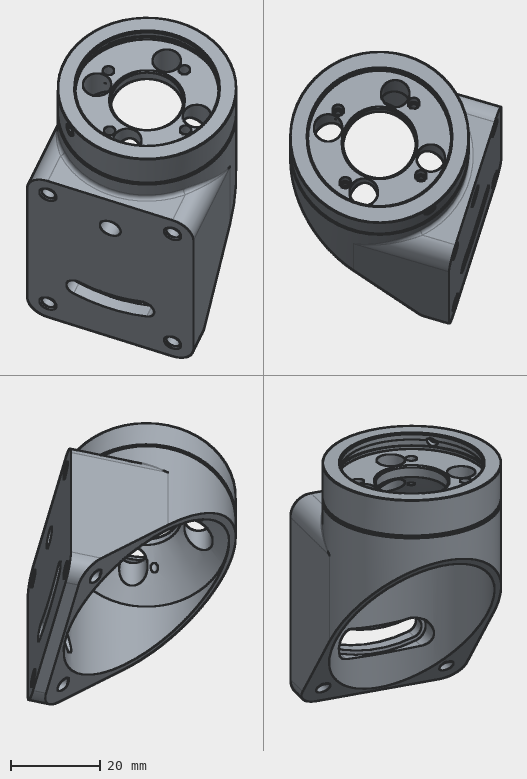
import cadquery as cq
import math

WIDTH = 40.0
DEPTH = 42.4
HEIGHT = 64.2
BODY_RADIUS = WIDTH / 2
FRONT_Y = BODY_RADIUS - DEPTH

PLATE_HEIGHT = 50.0
PLATE_CORNER_RADIUS = 5.0
ROOT_FILLET = 0.95
SHOULDER_Z = 55.0
SHOULDER_CHAMFER = 0.2
SLOPE_BACK_Z = 48.65
SLOPE_FOOT_Y = -19.4

BOSS_RADIUS = 17.35
BOSS_TOP_Z = HEIGHT - 4.4
BOSS_CHAMFER = 0.2
BOSS_OVERLAP = 0.65
BORE_RADIUS = 8.1
BORE_CHAMFER = 0.4
BORE_END_Z = HEIGHT - 7.2
PORT_DIAMETER = 6.35
PORT_CIRCLE_RADIUS = 12.0
SCREW_HOLE_DIAMETER = 1.6
SCREW_COUNTERBORE_DIAMETER = 2.6
SCREW_COUNTERBORE_DEPTH = 3.2
SCREW_FIRST_ANGLE = 67.5
STATIONS = 4

CAVITY_RADIUS = 18.5
CAVITY_CONE_HEIGHT = 9.3

MOUNT_HOLE_DIAMETER = 3.3
MOUNT_SINK_DIAMETER = 4.1
MOUNT_HOLE_DEPTH = 8.0
DRILL_POINT_ANGLE = 118.0
MOUNT_X = WIDTH / 2 - PLATE_CORNER_RADIUS
PIVOT_DIAMETER = 5.0
PIVOT_Z = 39.9
SLOT_WIDTH = PIVOT_DIAMETER
SLOT_CLEARANCE_WIDTH = 7.05
FRONT_WALL = 3.2
SLOT_ARC_RADIUS = 27.0
SLOT_HALF_ANGLE = 17.3

RING_BOTTOM_Z = 55.4
RING_EDGE_CHAMFER = 0.1
LIP_RADIUS = 16.0
LIP_CHAMFER = 0.3
LIP_HEIGHT = 1.6
GROOVE_RADIUS = 17.65
GROOVE_END_Z = HEIGHT - 3.8
SET_SCREW_DIAMETER = 2.6
SET_SCREW_SINK_DIAMETER = 3.0
SET_SCREW_ANGLE = 231.6
SET_SCREW_Z = HEIGHT - 2.4


def upright_cylinder(radius, bottom_z, top_z):
    return cq.Workplane("XY").workplane(offset=bottom_z).circle(radius).extrude(top_z - bottom_z)


def revolved(profile):
    """Turn a closed list of (radius, z) points about the Z axis."""
    return cq.Workplane("XZ").polyline(profile).close().revolve(360, (0, 0, 0), (0, 1, 0))


def drilled(diameter, sink_diameter, depth, point_angle=None):
    """Solid of a hole along -Z from the origin with a 45 degree sink and an optional drill point."""
    radius = diameter / 2
    sink_radius = sink_diameter / 2
    profile = [(0, 0), (sink_radius, 0), (radius, radius - sink_radius), (radius, -depth)]
    tip = radius / math.tan(math.radians(point_angle / 2)) if point_angle else 0
    profile.append((0, -depth - tip))
    return revolved(profile)


def around(angle):
    """Point on the port circle."""
    turn = math.radians(angle)
    return (PORT_CIRCLE_RADIUS * math.cos(turn), PORT_CIRCLE_RADIUS * math.sin(turn))


def screw_hole():
    """Counterbored hole along -Z from the origin."""
    shank = upright_cylinder(SCREW_HOLE_DIAMETER / 2, -HEIGHT / 2, 0)
    return shank.union(upright_cylinder(SCREW_COUNTERBORE_DIAMETER / 2, -SCREW_COUNTERBORE_DEPTH, 0))


def front_sketch(depth=0):
    """Workplane at a depth behind the front face: local x is X, local y is Z, negative goes inwards."""
    return cq.Workplane("XZ", origin=(0, FRONT_Y + depth, 0))


def housing_blank():
    """Front block and round barrel, with a fillet where the block's top meets the barrel."""
    block = (
        front_sketch()
        .center(0, PLATE_HEIGHT / 2)
        .rect(WIDTH, PLATE_HEIGHT)
        .extrude(FRONT_Y)
        .edges("|Y")
        .fillet(PLATE_CORNER_RADIUS)
    )
    barrel = upright_cylinder(BODY_RADIUS, 0, SHOULDER_Z).faces(">Z").chamfer(SHOULDER_CHAMFER)
    blank = block.union(barrel)
    around_root = cq.selectors.BoxSelector(
        (-WIDTH, 0.9 * FRONT_Y, PLATE_HEIGHT - PLATE_CORNER_RADIUS),
        (WIDTH, -0.65, PLATE_HEIGHT + 0.65),
    )
    return blank.edges(around_root).edges("not |Y").fillet(ROOT_FILLET)


def below_slope():
    """Everything under the sloping rear face."""
    slope = SLOPE_BACK_Z / (BODY_RADIUS - SLOPE_FOOT_Y)
    margin = WIDTH
    return (
        cq.Workplane("YZ")
        .polyline([
            (SLOPE_FOOT_Y - margin, -margin * slope),
            (BODY_RADIUS + margin, SLOPE_BACK_Z + margin * slope),
            (BODY_RADIUS + margin, -margin * slope),
        ])
        .close()
        .extrude(WIDTH, both=True)
    )


def cavity():
    """Round cavity, open at the slope, whose conical roof leads up to the bore."""
    return revolved([
        (0, 0),
        (CAVITY_RADIUS, 0),
        (CAVITY_RADIUS, BORE_END_Z - CAVITY_CONE_HEIGHT),
        (BORE_RADIUS, BORE_END_Z),
        (0, BORE_END_Z),
    ])


def curved_slot(width, start_depth=0):
    """Slot along an arc about the pivot hole, with round ends."""
    half_width = width / 2

    def point(radius, angle):
        turn = math.radians(angle)
        return (radius * math.sin(turn), PIVOT_Z - radius * math.cos(turn))

    inner = SLOT_ARC_RADIUS - half_width
    outer = SLOT_ARC_RADIUS + half_width
    end_angle = SLOT_HALF_ANGLE + math.degrees(half_width / SLOT_ARC_RADIUS)
    return (
        front_sketch(start_depth)
        .moveTo(*point(outer, -SLOT_HALF_ANGLE))
        .threePointArc(point(outer, 0), point(outer, SLOT_HALF_ANGLE))
        .threePointArc(point(SLOT_ARC_RADIUS, end_angle), point(inner, SLOT_HALF_ANGLE))
        .threePointArc(point(inner, 0), point(inner, -SLOT_HALF_ANGLE))
        .threePointArc(point(SLOT_ARC_RADIUS, -end_angle), point(outer, -SLOT_HALF_ANGLE))
        .close()
        .extrude(FRONT_Y)
    )


def make_housing():
    boss = upright_cylinder(BOSS_RADIUS, SHOULDER_Z - BOSS_OVERLAP, BOSS_TOP_Z)
    body = housing_blank().union(boss.faces(">Z").chamfer(BOSS_CHAMFER))
    body = body.cut(below_slope()).cut(cavity())

    bore = drilled(2 * BORE_RADIUS, 2 * (BORE_RADIUS + BORE_CHAMFER), HEIGHT / 2)
    body = body.cut(bore.translate((0, 0, BOSS_TOP_Z)))
    for station in range(STATIONS):
        turn = station * 360 / STATIONS
        port = upright_cylinder(PORT_DIAMETER / 2, HEIGHT / 2, HEIGHT)
        body = body.cut(port.translate((*around(turn), 0)))
        x, y = around(SCREW_FIRST_ANGLE + turn)
        body = body.cut(screw_hole().translate((x, y, BOSS_TOP_Z)))

    mount = drilled(MOUNT_HOLE_DIAMETER, MOUNT_SINK_DIAMETER, MOUNT_HOLE_DEPTH, DRILL_POINT_ANGLE)
    mount = mount.rotate((0, 0, 0), (1, 0, 0), 90)
    for x in (-MOUNT_X, MOUNT_X):
        for z in (PLATE_CORNER_RADIUS, PLATE_HEIGHT - PLATE_CORNER_RADIUS):
            body = body.cut(mount.translate((x, FRONT_Y, z)))

    pivot = front_sketch().center(0, PIVOT_Z).circle(PIVOT_DIAMETER / 2).extrude(FRONT_Y)
    slot = curved_slot(SLOT_WIDTH)
    clearance = curved_slot(SLOT_CLEARANCE_WIDTH, FRONT_WALL)
    return body.cut(pivot).cut(slot).cut(clearance)


def make_ring():
    lip_end_z = HEIGHT - LIP_HEIGHT
    ring = revolved([
        (BOSS_RADIUS, RING_BOTTOM_Z),
        (BODY_RADIUS - RING_EDGE_CHAMFER, RING_BOTTOM_Z),
        (BODY_RADIUS, RING_BOTTOM_Z + RING_EDGE_CHAMFER),
        (BODY_RADIUS, HEIGHT - RING_EDGE_CHAMFER),
        (BODY_RADIUS - RING_EDGE_CHAMFER, HEIGHT),
        (LIP_RADIUS + LIP_CHAMFER, HEIGHT),
        (LIP_RADIUS, HEIGHT - LIP_CHAMFER),
        (LIP_RADIUS, lip_end_z),
        (GROOVE_RADIUS, lip_end_z),
        (GROOVE_RADIUS, GROOVE_END_Z),
        (BOSS_RADIUS, GROOVE_END_Z),
    ])
    set_screw = drilled(SET_SCREW_DIAMETER, SET_SCREW_SINK_DIAMETER, BODY_RADIUS / 2)
    set_screw = set_screw.rotate((0, 0, 0), (0, 1, 0), 90).translate((BODY_RADIUS, 0, SET_SCREW_Z))
    return ring.cut(set_screw.rotate((0, 0, 0), (0, 0, 1), SET_SCREW_ANGLE))


housing = make_housing()
ring = make_ring()
result = cq.Compound.makeCompound([housing.val(), ring.val()])